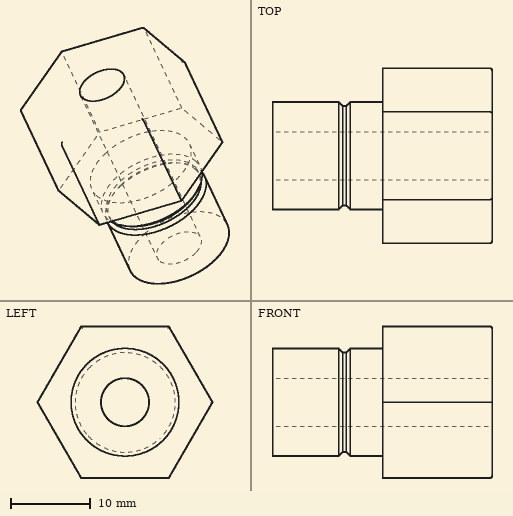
import cadquery as cq
import math

total_length = 27.5
hex_across_flats = 19.0
hex_length = 13.75
hex_end_rounding = 0.3
plug_diameter = 13.5
bore_diameter = 6.0

groove_start = 8.25
groove_floor_width = 0.5
groove_depth = 0.5

plug_length = total_length - hex_length
plug_radius = plug_diameter / 2
hex_across_corners = hex_across_flats / math.cos(math.pi / 6)


def make_plug():
    """Round plug with the locking groove, revolved about the X axis."""
    floor_radius = plug_radius - groove_depth
    floor_start = groove_start + groove_depth
    floor_end = floor_start + groove_floor_width
    groove_end = floor_end + groove_depth
    half_section = [
        (0, 0),
        (0, plug_radius),
        (groove_start, plug_radius),
        (floor_start, floor_radius),
        (floor_end, floor_radius),
        (groove_end, plug_radius),
        (plug_length, plug_radius),
        (plug_length, 0),
    ]
    return cq.Workplane("XY").polyline(half_section).close().revolve(360, (0, 0, 0), (1, 0, 0))


def make_hex_body():
    """Hexagonal body, corners on the Y axis, with its +X end edges rounded."""
    body = (
        cq.Workplane("YZ")
        .workplane(offset=plug_length)
        .polygon(6, hex_across_corners)
        .extrude(hex_length)
    )
    return body.faces(">X").edges().fillet(hex_end_rounding)


def make_bore():
    """Through bore along the X axis."""
    return cq.Workplane("YZ").circle(bore_diameter / 2).extrude(total_length)


result = make_plug().union(make_hex_body()).cut(make_bore())